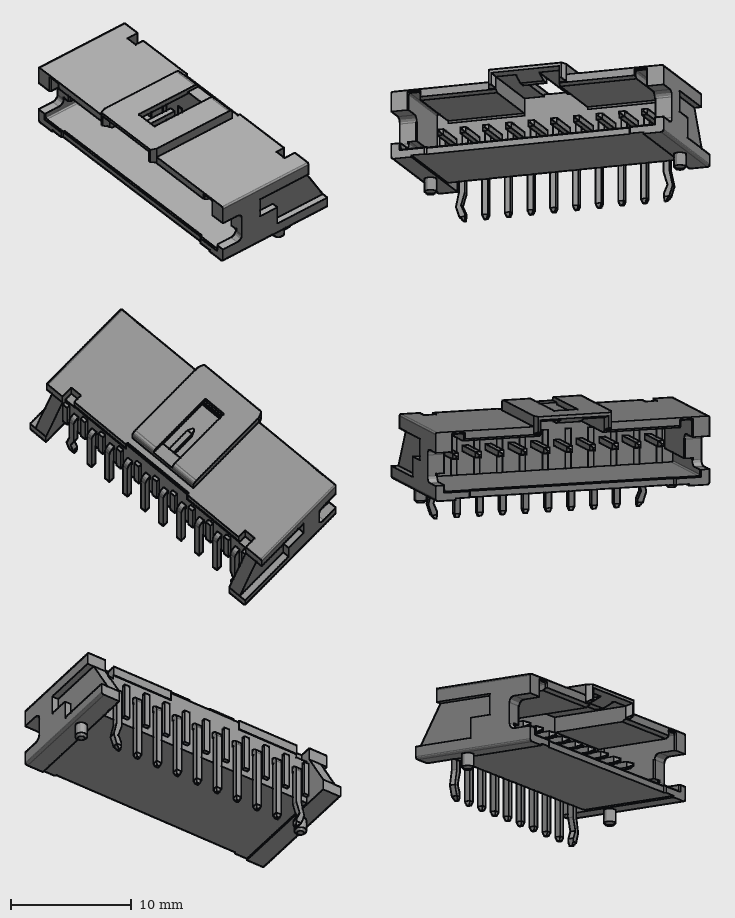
import cadquery as cq


LENGTH = 24.0
HALF = LENGTH / 2
HEIGHT = 5.78
ROOF_BACK = 8.9
WALL_BACK = 8.83
END_BACK = 9.2
WING_BACK = 11.23
WING_INNER_X = 10.22
WING_TIP_Z = 1.05
TOP_ROUND = 0.15
BOTTOM_ROUND = 0.22
FOOT_HEIGHT = 0.15
OVERHANG_THICKNESS = 0.9

RECESS_DEPTH = 0.6
RECESS_TOP = 4.58
RECESS_FRONT = 3.98
RECESS_STEP_Y = 5.85
RECESS_STEP_Z = 2.78

END_NOTCH_DEPTH = 2.05
END_NOTCH_BOTTOM = 1.3
END_NOTCH_TOP = 4.08
END_NOTCH_RADIUS = 0.5

CAVITY_DEPTH = 6.98
CAVITY_HALF = 10.5
FLOOR_Z = 0.77
ROOF_UNDERSIDE = 4.9
SIDE_GROOVE_HALF = 11.18
SIDE_GROOVE_TOP = 1.95
TOP_GROOVE_INNER_X = 9.5
TOP_GROOVE_TOP = 5.55
LEAD_IN = 0.1
LEAD_IN_DEPTH = 0.12
ROOF_LEAD_IN = 0.22
ROOF_LEAD_IN_DEPTH = 0.34
CAVITY_ROUND = 0.12
LEDGE_HEIGHT = 0.2
LEDGE_DEPTH = 0.07

FLOOR_SETBACK = 0.15
FLOOR_SETBACK_HALF = 9.07

TOWER_HALF = 3.4
TOWER_TOP = 6.7
TOWER_FRONT = -0.53
TOWER_BACK = 8.1
TOWER_SIDE_TAPER = 0.22
TOWER_LIP_Z = 5.18
TOWER_LIP_RISE = 0.22
TOWER_BACK_ROUND = 0.38
TOWER_CAVITY_HALF = 2.78
TOWER_CAVITY_TOP = 6.2
TOWER_LEAD_IN = 0.22
TOWER_LEAD_IN_DEPTH = 0.55
ROOF_STEP_FRONT = 8.7
ROOF_STEP_DEPTH = 0.15

WINDOW_HALF = 1.03
WINDOW_FRONT = 1.7
CATCH_BACK = 1.87
CATCH_BOTTOM = 5.75
CHANNEL_FLOOR = 6.35

ROOF_NOTCH_INNER_X = 9.17
ROOF_NOTCH_FRONT = 8.1
ROOF_NOTCH_FLOOR = 4.55

PIN_COUNT = 10
PITCH = 6 / 3
PIN_SIZE = 0.5
PIN_Z = 3.0
PIN_TIP_Y = 3.2
PIN_TAPER = 0.48
PIN_TIP_SIZE = 0.17
PIN_BEND_RADIUS = 0.58
TAIL_Y = 9.2
TAIL_BOTTOM = -3.2
TAIL_TAPER = 0.34
TAIL_TIP_SIZE = 0.26
RIB_WIDTH = 0.5
RIB_TOP = 4.13
RIB_FRONT = 6.9
RIB_BACK = 9.15

PEG_DIAMETER = 1.0
PEG_X = 11.0
PEG_Y = 6.77
PEG_BOTTOM = -1.3
PEG_CHAMFER = 0.22

BOW_OUTER = 0.55
BOW_OUTER_START = -0.6
BOW_OUTER_PEAK = -1.97
BOW_INNER = 0.1
BOW_INNER_START = -0.75
BOW_INNER_PEAK = -1.87
BOW_TIP_INNER = -0.22
BOW_TIP_OUTER = -0.05
BOW_TIP_START = -2.57


def box(x0, x1, y0, y1, z0, z1):
    """Box between two corners."""
    return cq.Workplane("XY").box(x1 - x0, y1 - y0, z1 - z0, centered=False).translate((x0, y0, z0))


def side_prism(points, x0, x1):
    """Prism along X from a (Y, Z) outline."""
    return cq.Workplane("YZ", origin=(x0, 0, 0)).polyline(points).close().extrude(x1 - x0)


def front_prism(points, y0, y1):
    """Prism along Y from an (X, Z) outline."""
    return cq.Workplane("XZ", origin=(0, y0, 0)).polyline(points).close().extrude(y0 - y1)


def front_loft(first, second, y0, y1):
    """Straight-sided loft along Y between two (X, Z) outlines."""
    plane = cq.Workplane("XZ", origin=(0, y0, 0)).polyline(first).close()
    return plane.workplane(offset=y0 - y1).polyline(second).close().loft(ruled=True)


def both_ends(solid):
    """The solid together with its mirror image across the middle of the row."""
    return solid.union(solid.mirror("YZ"))


def symmetric(points):
    """Closed outline from its right half, listed from bottom to top."""
    return points + [(-x, z) for x, z in reversed(points)]


def end_wall():
    outline = [
        (0, 0),
        (WING_BACK, 0),
        (WING_BACK, WING_TIP_Z),
        (END_BACK, RECESS_TOP),
        (END_BACK, HEIGHT),
        (0, HEIGHT),
    ]
    wall = side_prism(outline, WING_INNER_X, HALF)
    wall = wall.edges("|Y and >X and >Z").fillet(TOP_ROUND)
    wall = wall.edges("|Y and >X and <Z").fillet(BOTTOM_ROUND)
    recess = [
        (WING_BACK, WING_TIP_Z),
        (RECESS_STEP_Y, WING_TIP_Z),
        (RECESS_STEP_Y, RECESS_STEP_Z),
        (RECESS_FRONT, RECESS_STEP_Z),
        (RECESS_FRONT, RECESS_TOP),
        (WING_BACK, RECESS_TOP),
    ]
    return wall.cut(side_prism(recess, HALF - RECESS_DEPTH, HALF))


def housing_block():
    middle = box(-WING_INNER_X, WING_INNER_X, 0, WALL_BACK, FOOT_HEIGHT, HEIGHT)
    overhang = box(
        -WING_INNER_X, WING_INNER_X, WALL_BACK, ROOF_BACK, HEIGHT - OVERHANG_THICKNESS, HEIGHT
    )
    return middle.union(overhang).union(both_ends(end_wall()))


def tower():
    block = box(-TOWER_HALF, TOWER_HALF, 0, TOWER_BACK, ROOF_UNDERSIDE, TOWER_TOP)
    block = block.edges(">Y and >Z").fillet(TOWER_BACK_ROUND)
    at_body = symmetric([(TOWER_HALF, TOWER_LIP_Z), (TOWER_HALF, TOWER_TOP)])
    tip_half = TOWER_HALF - TOWER_SIDE_TAPER
    at_tip = symmetric([(tip_half, TOWER_LIP_Z + TOWER_LIP_RISE), (tip_half, TOWER_TOP)])
    return block.union(front_loft(at_tip, at_body, TOWER_FRONT, 0))


def cavity_section(grow, depth):
    """Front run of the cavity, widened all round by grow except under the roof."""
    outline = symmetric([
        (SIDE_GROOVE_HALF + grow, FLOOR_Z - grow),
        (SIDE_GROOVE_HALF + grow, SIDE_GROOVE_TOP + grow),
        (CAVITY_HALF + grow, SIDE_GROOVE_TOP + grow),
        (CAVITY_HALF + grow, TOP_GROOVE_TOP + grow),
        (TOP_GROOVE_INNER_X - grow, TOP_GROOVE_TOP + grow),
        (TOP_GROOVE_INNER_X - grow, ROOF_UNDERSIDE),
        (TOWER_CAVITY_HALF, ROOF_UNDERSIDE),
        (TOWER_CAVITY_HALF, TOWER_CAVITY_TOP),
    ])

    def in_groove_corner(edge):
        center = edge.Center()
        in_side_groove = abs(center.x) > SIDE_GROOVE_HALF - CAVITY_ROUND
        in_top_groove = abs(center.z - TOP_GROOVE_TOP - grow) < CAVITY_ROUND
        return in_side_groove or in_top_groove

    section = front_prism(outline, 0, depth)
    return section.edges("|Y").filter(in_groove_corner).fillet(CAVITY_ROUND)


def tower_outline(grow):
    half = TOWER_CAVITY_HALF + grow
    return symmetric([(half, FLOOR_Z), (half, TOWER_CAVITY_TOP + grow)])


def cavity():
    space = cavity_section(0, CAVITY_DEPTH)
    mouth = cavity_section(LEAD_IN, LEAD_IN_DEPTH).faces("<Y").wires().val()
    throat = cavity_section(0, LEAD_IN_DEPTH).faces(">Y").wires().val()
    space = space.union(cq.Workplane(cq.Solid.makeLoft([mouth, throat], True)))
    roof_bevel = [
        (0, ROOF_UNDERSIDE),
        (0, ROOF_UNDERSIDE + ROOF_LEAD_IN),
        (ROOF_LEAD_IN_DEPTH, ROOF_UNDERSIDE),
    ]
    space = space.union(both_ends(side_prism(roof_bevel, TOWER_CAVITY_HALF, TOP_GROOVE_INNER_X)))
    space = space.union(front_prism(tower_outline(0), TOWER_FRONT, 0))
    tower_lead_in = front_loft(
        tower_outline(TOWER_LEAD_IN), tower_outline(0), TOWER_FRONT, TOWER_FRONT + TOWER_LEAD_IN_DEPTH
    )
    return space.union(tower_lead_in)


def end_notches():
    notch = box(-HALF, HALF, -END_NOTCH_DEPTH, END_NOTCH_DEPTH, END_NOTCH_BOTTOM, END_NOTCH_TOP)
    notch = notch.edges("|X and >Y").fillet(END_NOTCH_RADIUS)
    front = box(-HALF, HALF, 0, END_NOTCH_DEPTH, END_NOTCH_BOTTOM, END_NOTCH_TOP)
    return notch.intersect(front)


def end_notch_lead_ins():
    """Lead-in bevels where the cavity meets the back face of each end notch."""

    def bevel(wall_x, z0, z1):
        outline = [
            (wall_x, END_NOTCH_DEPTH),
            (wall_x + LEAD_IN, END_NOTCH_DEPTH),
            (wall_x, END_NOTCH_DEPTH + LEAD_IN_DEPTH),
        ]
        return cq.Workplane("XY", origin=(0, 0, z0)).polyline(outline).close().extrude(z1 - z0)

    upper = bevel(CAVITY_HALF, SIDE_GROOVE_TOP, END_NOTCH_TOP - END_NOTCH_RADIUS)
    lower = bevel(SIDE_GROOVE_HALF, END_NOTCH_BOTTOM + END_NOTCH_RADIUS, SIDE_GROOVE_TOP)
    return both_ends(upper.union(lower))


def floor_setback():
    """Strip off the front edge of the floor, with slanted ends and a lead-in bevel behind it."""
    inner_half = FLOOR_SETBACK_HALF - FLOOR_SETBACK
    strip = (
        cq.Workplane("XY")
        .polyline([
            (-FLOOR_SETBACK_HALF, 0),
            (FLOOR_SETBACK_HALF, 0),
            (inner_half, FLOOR_SETBACK),
            (-inner_half, FLOOR_SETBACK),
        ])
        .close()
        .extrude(FLOOR_Z)
    )
    bevel = [
        (FLOOR_SETBACK, FLOOR_Z),
        (FLOOR_SETBACK, FLOOR_Z - LEAD_IN),
        (FLOOR_SETBACK + LEAD_IN_DEPTH, FLOOR_Z),
    ]
    return strip.union(side_prism(bevel, -inner_half, inner_half))


def latch_window():
    opening = box(-WINDOW_HALF, WINDOW_HALF, WINDOW_FRONT, CAVITY_DEPTH, ROOF_UNDERSIDE, TOWER_TOP)
    channel = box(-WINDOW_HALF, WINDOW_HALF, CAVITY_DEPTH, TOWER_BACK, CHANNEL_FLOOR, TOWER_TOP)
    return opening.union(channel)


def latch_catch():
    """Catch under the tower roof, with a ramp that carries on from the tower's lead-in."""
    ramp_front = TOWER_FRONT + TOWER_LEAD_IN_DEPTH
    drop = TOWER_CAVITY_TOP - CATCH_BOTTOM
    ramp_length = drop * TOWER_LEAD_IN_DEPTH / TOWER_LEAD_IN
    outline = [
        (ramp_front, TOWER_CAVITY_TOP),
        (ramp_front + ramp_length, CATCH_BOTTOM),
        (CATCH_BACK, CATCH_BOTTOM),
        (CATCH_BACK, TOWER_CAVITY_TOP),
    ]
    return side_prism(outline, -WINDOW_HALF, WINDOW_HALF)


def roof_notches():
    notch = box(
        ROOF_NOTCH_INNER_X, WING_INNER_X, ROOF_NOTCH_FRONT, ROOF_BACK, ROOF_NOTCH_FLOOR, HEIGHT
    )
    return both_ends(notch)


def roof_step():
    """Roof behind the tower: no overhang, and a shallow step along its back edge."""
    lip = box(-TOWER_HALF, TOWER_HALF, WALL_BACK, ROOF_BACK, HEIGHT - OVERHANG_THICKNESS, HEIGHT)
    step = box(-TOWER_HALF, TOWER_HALF, ROOF_STEP_FRONT, WALL_BACK, HEIGHT - ROOF_STEP_DEPTH, HEIGHT)
    return lip.union(step)


def back_ledges():
    """Thin wedge on the cavity's back wall under each half of the roof."""
    wedge = [
        (CAVITY_DEPTH, ROOF_UNDERSIDE - LEDGE_HEIGHT),
        (CAVITY_DEPTH - LEDGE_DEPTH, ROOF_UNDERSIDE),
        (CAVITY_DEPTH, ROOF_UNDERSIDE),
    ]
    return both_ends(side_prism(wedge, TOWER_CAVITY_HALF, TOP_GROOVE_INNER_X))


def rib(x):
    return box(x - RIB_WIDTH / 2, x + RIB_WIDTH / 2, RIB_FRONT, RIB_BACK, FLOOR_Z, RIB_TOP)


def contact(x):
    """Horizontal contact with a pyramid tip, and its vertical leg behind the wall."""
    half = PIN_SIZE / 2
    taper_start = PIN_TIP_Y + PIN_TAPER
    bar = box(x - half, x + half, taper_start, TAIL_Y + half, PIN_Z - half, PIN_Z + half)
    tip = (
        cq.Workplane("XZ", origin=(x, taper_start, PIN_Z))
        .rect(PIN_SIZE, PIN_SIZE)
        .workplane(offset=PIN_TAPER)
        .rect(PIN_TIP_SIZE, PIN_TIP_SIZE)
        .loft()
    )
    leg = box(x - half, x + half, TAIL_Y - half, TAIL_Y + half, 0, PIN_Z)
    bent = bar.union(leg).edges(">Y and >Z").fillet(PIN_BEND_RADIUS)
    return bent.union(tip)


def straight_tail(x):
    half = PIN_SIZE / 2
    taper_start = TAIL_BOTTOM + TAIL_TAPER
    shank = box(x - half, x + half, TAIL_Y - half, TAIL_Y + half, taper_start, 0)
    tip = (
        cq.Workplane("XY", origin=(x, TAIL_Y, taper_start))
        .rect(PIN_SIZE, PIN_SIZE)
        .workplane(offset=-TAIL_TAPER)
        .rect(TAIL_TIP_SIZE, TAIL_TIP_SIZE)
        .loft()
    )
    return shank.union(tip)


def kinked_tail(x):
    """Tail of the last pin, bowed outward to grip its hole."""
    half = PIN_SIZE / 2
    taper_start = TAIL_BOTTOM + TAIL_TAPER
    outline = [
        (x - half, 0),
        (x + half, 0),
        (x + half, BOW_OUTER_START),
        (x + BOW_OUTER, BOW_OUTER_PEAK),
        (x + half, taper_start),
        (x + BOW_TIP_OUTER, TAIL_BOTTOM),
        (x + BOW_TIP_INNER, TAIL_BOTTOM),
        (x + BOW_TIP_INNER, BOW_TIP_START),
        (x + BOW_INNER, BOW_INNER_PEAK),
        (x - half, BOW_INNER_START),
    ]
    tail = front_prism(outline, TAIL_Y - half, TAIL_Y + half)
    tip_half = TAIL_TIP_SIZE / 2
    bevel = [(half, taper_start), (half, TAIL_BOTTOM), (tip_half, TAIL_BOTTOM)]
    for side in (-1, 1):
        corner = [(TAIL_Y + side * y, z) for y, z in bevel]
        tail = tail.cut(side_prism(corner, x - PIN_SIZE, x + PIN_SIZE))
    return tail


def peg():
    shaft = cq.Workplane("XY", origin=(PEG_X, PEG_Y, PEG_BOTTOM)).circle(PEG_DIAMETER / 2)
    return shaft.extrude(-PEG_BOTTOM).faces("<Z").chamfer(PEG_CHAMFER)


result = housing_block().union(tower())
result = result.cut(cavity()).cut(end_notches()).cut(end_notch_lead_ins()).cut(floor_setback())
result = result.cut(latch_window()).union(latch_catch())
result = result.cut(roof_notches()).cut(roof_step())
result = result.union(back_ledges()).union(both_ends(peg()))

last_pin_x = PITCH * (PIN_COUNT - 1) / 2
for index in range(PIN_COUNT + 1):
    result = result.union(rib(PITCH * (index - PIN_COUNT / 2)))
for index in range(PIN_COUNT):
    result = result.union(contact(PITCH * index - last_pin_x))
for index in range(1, PIN_COUNT - 1):
    result = result.union(straight_tail(PITCH * index - last_pin_x))
result = result.union(both_ends(kinked_tail(last_pin_x)))